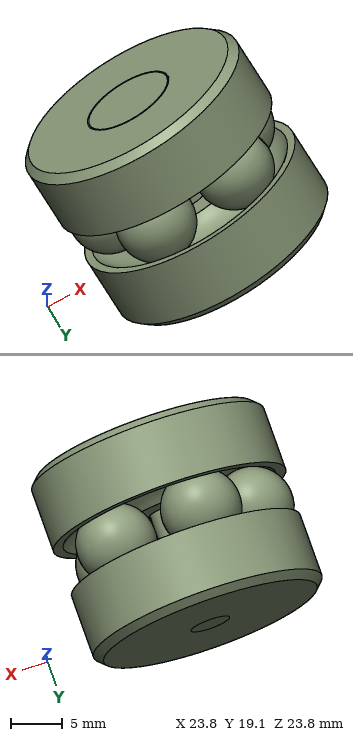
import cadquery as cq
import math


front_race_diameter = 23.8
rear_race_diameter = 23.45
bearing_length = 19.05
race_gap = 4.76
outer_chamfer = 0.79
half_length = bearing_length / 2
race_width = (bearing_length - race_gap) / 2

ball_count = 5
ball_diameter = 7.9
pitch_radius = 7.75
first_ball_angle = 180.0

shaft_diameter = 3.95
shaft_bore_diameter = 4.21
head_diameter = 8.76
head_recess_diameter = 9.05
head_thickness = 2.85


def cylinder(diameter, start_y, length):
    """Cylinder on the Y axis, running from start_y toward +Y."""
    plane = cq.Plane(origin=(0, start_y, 0), xDir=(1, 0, 0), normal=(0, 1, 0))
    return cq.Workplane(plane).circle(diameter / 2).extrude(length)


def ball_track():
    """Ring swept by the balls around the Y axis, which forms the groove in each race."""
    axis_start = (-pitch_radius, 0, 0)
    axis_end = (-pitch_radius, 1, 0)
    profile = cq.Workplane("XY").center(pitch_radius, 0).circle(ball_diameter / 2)
    return profile.revolve(360, axis_start, axis_end)


def make_front_race():
    """Front race with a clearance bore and a recess for the shaft head."""
    race = cylinder(front_race_diameter, -half_length, race_width)
    race = race.faces("<Y").chamfer(outer_chamfer)
    race = race.cut(ball_track())
    race = race.cut(cylinder(shaft_bore_diameter, -half_length, race_width))
    return race.cut(cylinder(head_recess_diameter, -half_length, head_thickness))


def make_rear_race():
    """Rear race whose bore fits tightly on the shaft."""
    race = cylinder(rear_race_diameter, race_gap / 2, race_width)
    race = race.faces(">Y").chamfer(outer_chamfer)
    race = race.cut(ball_track())
    return race.cut(cylinder(shaft_diameter, race_gap / 2, race_width))


def make_shaft():
    """Shaft through the whole bearing, with a wide head at the front end."""
    head = cylinder(head_diameter, -half_length, head_thickness)
    return head.union(cylinder(shaft_diameter, -half_length, bearing_length))


def make_ball(angle):
    """One ball on the pitch circle."""
    x = pitch_radius * math.cos(math.radians(angle))
    z = pitch_radius * math.sin(math.radians(angle))
    return cq.Workplane("XY").sphere(ball_diameter / 2).translate((x, 0, z))


front_race = make_front_race()
rear_race = make_rear_race()
shaft = make_shaft()

balls = []
for index in range(ball_count):
    ball = make_ball(first_ball_angle + index * 360 / ball_count)
    balls.append(ball.val())

result = cq.Compound.makeCompound([front_race.val(), rear_race.val(), shaft.val(), *balls])